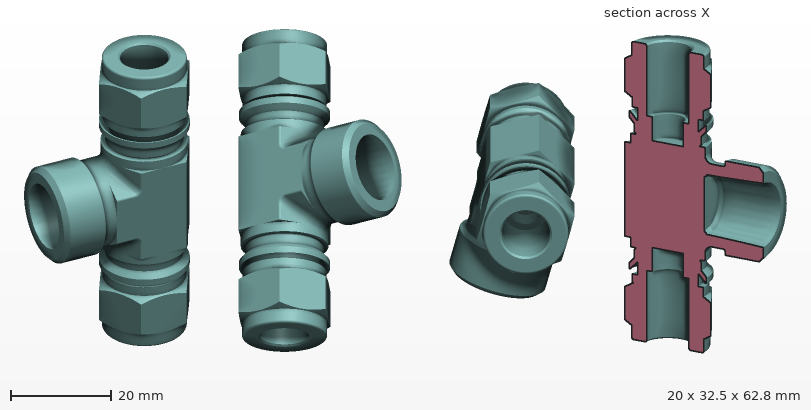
import cadquery as cq
import math

total_height = 62.8
across_flats = 17.5
branch_reach = 22.35
body_half_height = 10.0
branch_block_reach = 10.4
junction_radius = 1.5
body_edge_radius = 0.5

body_collar_top = 12.0
relief_top = 12.4
relief_diameter = 15.1
shank_diameter = 15.8
flange_bottom = 15.3
flange_top = 16.65
flange_diameter = 18.2
flange_rim_width = 0.25
neck_top = 17.5
neck_diameter = 14.25
nut_collar_diameter = 16.8
nut_bottom = 19.55
nut_top = 28.45
nut_chamfer_angle = 30.0
cap_diameter = 17.0
cap_edge_radius = 0.5

socket_diameter = 9.75
socket_depth = 15.1
socket_chamfer = 0.4
passage_diameter = 7.1
passage_depth = 20.1

head_diameter = 20.0
head_back = 13.4
head_chamfer = 1.0
head_back_radius = 0.3
head_root_radius = 0.5
bore_mouth_diameter = 13.45
bore_diameter = 12.5
bore_seat_diameter = 11.2
bore_taper_depth = 12.55
bore_depth = 13.8

flat_radius = across_flats / 2
corner_radius = flat_radius / math.cos(math.radians(30))
half_side = corner_radius / 2
tangent_x = flat_radius * math.sin(math.radians(30))
tangent_y = flat_radius * math.cos(math.radians(30))
half_height = total_height / 2
tolerance = 0.005
shank_top = flange_bottom - (flange_diameter - shank_diameter) / 2
dish_bottom = flange_top - (flange_diameter / 2 - flange_rim_width - neck_diameter / 2)


def revolve_z(points):
    """Turn a closed outline of (radius, z) points about the Z axis."""
    return cq.Workplane("XZ").polyline(points).close().revolve(360, (0, 0, 0), (0, 1, 0))


def cylinder_z(diameter, bottom, top):
    return cq.Workplane("XY").workplane(offset=bottom).circle(diameter / 2).extrude(top - bottom)


def edges_where(shape, test):
    """Edges of the shape whose centre point passes the test."""
    return shape.newObject([e for e in shape.edges().vals() if test(e.Center())])


def run_body():
    """Hexagon prism with its -Y corner cut away, around a cylinder that fits the flats."""
    prism = (
        cq.Workplane("XY")
        .workplane(offset=-body_half_height)
        .polyline([
            (0, corner_radius),
            (flat_radius, half_side),
            (flat_radius, -half_side),
            (tangent_x, -tangent_y),
            (-tangent_x, -tangent_y),
            (-flat_radius, -half_side),
            (-flat_radius, half_side),
        ])
        .close()
        .extrude(2 * body_half_height)
    )
    return prism.union(cylinder_z(across_flats, -body_collar_top, body_collar_top))


def branch_block():
    """Hexagonal branch stem with both Z corners cut away at the round stem inside it."""
    return (
        cq.Workplane("XZ")
        .polyline([
            (flat_radius, half_side),
            (tangent_x, tangent_y),
            (-tangent_x, tangent_y),
            (-flat_radius, half_side),
            (-flat_radius, -half_side),
            (-tangent_x, -tangent_y),
            (tangent_x, -tangent_y),
            (flat_radius, -half_side),
        ])
        .close()
        .extrude(branch_block_reach)
    )


def branch_head():
    """Round stem and larger head of the branch, turned about the Y axis."""
    stem_radius = flat_radius
    head_radius = head_diameter / 2
    root_arc = head_root_radius * math.sqrt(0.5)
    rim_arc = head_back_radius * math.sqrt(0.5)
    root_center = (stem_radius + head_root_radius, head_root_radius - head_back)
    rim_center = (head_radius - head_back_radius, -head_back - head_back_radius)
    return (
        cq.Workplane("XY")
        .lineTo(stem_radius, 0)
        .lineTo(stem_radius, root_center[1])
        .threePointArc((root_center[0] - root_arc, root_center[1] - root_arc), (root_center[0], -head_back))
        .lineTo(rim_center[0], -head_back)
        .threePointArc((rim_center[0] + rim_arc, rim_center[1] + rim_arc), (head_radius, rim_center[1]))
        .lineTo(head_radius, head_chamfer - branch_reach)
        .lineTo(head_radius - head_chamfer, -branch_reach)
        .lineTo(0, -branch_reach)
        .close()
        .revolve(360, (0, 0, 0), (0, 1, 0))
    )


def tee_body():
    """Run and branch joined, with the junction filleted and the side edges rounded."""
    tee = run_body().union(branch_block()).union(branch_head()).clean()

    def on_junction(c):
        return c.y < -half_side and abs(abs(c.z) + c.y) < tolerance

    tee = edges_where(tee, on_junction).fillet(junction_radius)

    def on_side_flat_edge(c):
        inside_ends = abs(c.z) < body_half_height - tolerance and c.y > tolerance - branch_block_reach
        return inside_ends and abs(abs(c.x) - flat_radius) < tolerance

    return edges_where(tee, on_side_flat_edge).fillet(body_edge_radius)


def hexagon_nut():
    """Hexagon with corners on Y, chamfered at both ends down to the round parts next to it."""
    prism = (
        cq.Workplane("XY")
        .workplane(offset=nut_bottom)
        .polygon(6, 2 * corner_radius)
        .extrude(nut_top - nut_bottom)
        .rotate((0, 0, 0), (0, 0, 1), 30)
    )
    chamfer_slope = math.tan(math.radians(nut_chamfer_angle))
    collar_radius = nut_collar_diameter / 2
    cap_radius = cap_diameter / 2
    envelope = revolve_z([
        (0, nut_bottom),
        (collar_radius, nut_bottom),
        (corner_radius, nut_bottom + (corner_radius - collar_radius) * chamfer_slope),
        (corner_radius, nut_top - (corner_radius - cap_radius) * chamfer_slope),
        (cap_radius, nut_top),
        (0, nut_top),
    ])
    return prism.intersect(envelope)


def run_end():
    """Everything on the +Z run beyond the body collar, before the socket is cut."""
    flanged_shank = revolve_z([
        (0, body_collar_top),
        (relief_diameter / 2, body_collar_top),
        (shank_diameter / 2, relief_top),
        (shank_diameter / 2, shank_top),
        (flange_diameter / 2, flange_bottom),
        (flange_diameter / 2, flange_top),
        (flange_diameter / 2 - flange_rim_width, flange_top),
        (neck_diameter / 2, dish_bottom),
        (neck_diameter / 2, neck_top),
        (0, neck_top),
    ])
    cap = cylinder_z(cap_diameter, nut_top, half_height).faces(">Z").edges().fillet(cap_edge_radius)
    return (
        flanged_shank
        .union(cylinder_z(nut_collar_diameter, neck_top, nut_bottom))
        .union(hexagon_nut())
        .union(cap)
    )


def tube_socket():
    """Chamfered tube socket with a smaller blind passage at its bottom."""
    socket_radius = socket_diameter / 2
    passage_radius = passage_diameter / 2
    return revolve_z([
        (0, half_height),
        (socket_radius + socket_chamfer, half_height),
        (socket_radius, half_height - socket_chamfer),
        (socket_radius, half_height - socket_depth),
        (passage_radius, half_height - socket_depth),
        (passage_radius, half_height - passage_depth),
        (0, half_height - passage_depth),
    ])


def branch_bore():
    """Blind bore: long slight taper, short straight wall and a 45 degree seat at the bottom."""
    seat_depth = bore_depth - (bore_diameter - bore_seat_diameter) / 2
    return (
        cq.Workplane("XY")
        .polyline([
            (0, -branch_reach),
            (bore_mouth_diameter / 2, -branch_reach),
            (bore_diameter / 2, bore_taper_depth - branch_reach),
            (bore_diameter / 2, seat_depth - branch_reach),
            (bore_seat_diameter / 2, bore_depth - branch_reach),
            (0, bore_depth - branch_reach),
        ])
        .close()
        .revolve(360, (0, 0, 0), (0, 1, 0))
    )


result = tee_body()

for turn in (0, 180):
    result = result.union(run_end().rotate((0, 0, 0), (1, 0, 0), turn))
    result = result.cut(tube_socket().rotate((0, 0, 0), (1, 0, 0), turn))

result = result.cut(branch_bore()).clean()